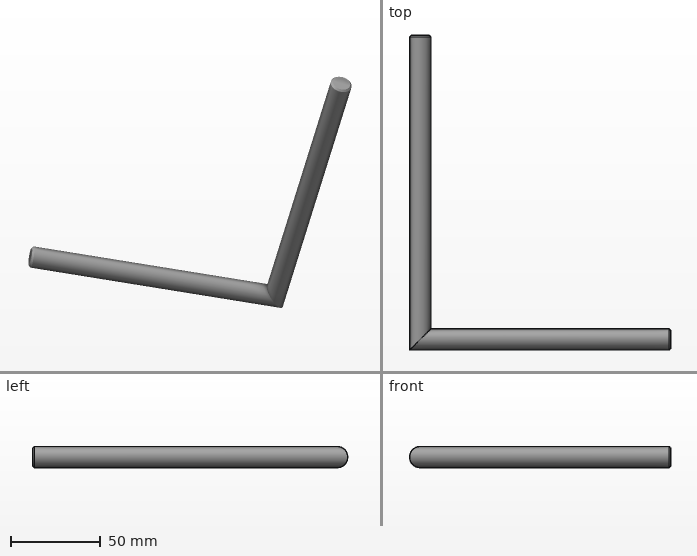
import cadquery as cq

rod_diameter = 12.0
x_leg_length = 140.0
y_leg_length = 170.0
end_chamfer = 1.0

rod_radius = rod_diameter / 2


def make_mitred_rod():
    """Round rod bent to a sharp right angle, its two legs meeting in a mitre at the origin."""
    axis_path = (
        cq.Workplane("XY")
        .moveTo(x_leg_length, 0)
        .lineTo(0, 0)
        .lineTo(0, y_leg_length)
    )
    section = cq.Workplane("YZ", origin=(x_leg_length, 0, 0)).circle(rod_radius)
    return section.sweep(axis_path, transition="right")


def chamfer_free_ends(rod):
    """Break the rim of the end face of each leg."""
    for end_face in (">X", ">Y"):
        rod = rod.faces(end_face).chamfer(end_chamfer)
    return rod


result = chamfer_free_ends(make_mitred_rod())